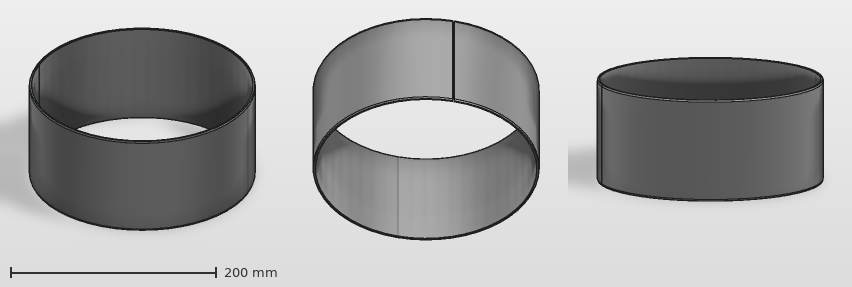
import cadquery as cq
import math

outer_radius = 110.0
wall = 2.5
height = 100.0
outer_bevel_height = 1.8
outer_bevel_angle = 20.0
inner_bevel_height = 0.6
inner_bevel_angle = 30.0
slit_angle = 1.0

outer_bevel_depth = outer_bevel_height * math.tan(math.radians(outer_bevel_angle))
inner_bevel_depth = inner_bevel_height * math.tan(math.radians(inner_bevel_angle))

inner_radius = outer_radius - wall
rim_outer_radius = outer_radius - outer_bevel_depth
rim_inner_radius = inner_radius + inner_bevel_depth


def ring():
    """Full ring about Z whose wall is bevelled on all four rim edges."""
    wall_section = cq.Workplane("XZ").polyline([
        (rim_inner_radius, 0),
        (rim_outer_radius, 0),
        (outer_radius, outer_bevel_height),
        (outer_radius, height - outer_bevel_height),
        (rim_outer_radius, height),
        (rim_inner_radius, height),
        (inner_radius, height - inner_bevel_height),
        (inner_radius, inner_bevel_height),
    ]).close()
    return wall_section.revolve(360, (0, 0, 0), (0, 1, 0))


def slit_cutter():
    """Wedge from the ring axis that opens the wall on the +Y side of the -X axis."""
    reach = 2 * outer_radius
    wedge_rise = reach * math.tan(math.radians(slit_angle))
    return (
        cq.Workplane("XY")
        .polyline([(0, 0), (-reach, 0), (-reach, wedge_rise)])
        .close()
        .extrude(height)
    )


result = ring().cut(slit_cutter())